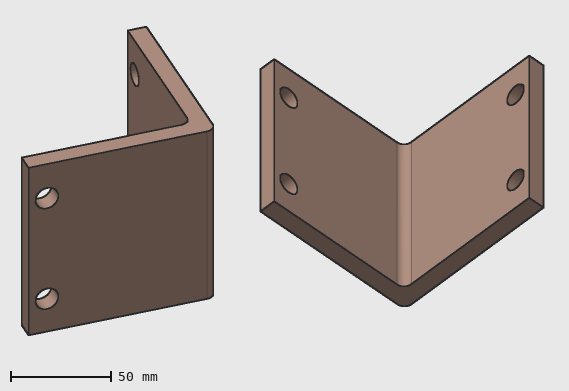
import cadquery as cq

leg_length = 100.0
height = 100.0
thickness = 10.0
bend_radius = 5.0

back_hole_diameter = 12.0
back_hole_edge_distance = 10.1
back_hole_heights = (19.2, 79.8)
side_hole_diameter = 12.1
side_hole_edge_distance = 9.8
side_hole_heights = (19.6, 79.6)


def make_angle():
    """L-shaped plate: back leg along X, side leg along -Y, corner at +X +Y."""
    inner_x = leg_length - thickness
    inner_y = leg_length - thickness
    angle = (
        cq.Workplane("XY")
        .moveTo(0, leg_length)
        .lineTo(leg_length, leg_length)
        .lineTo(leg_length, 0)
        .lineTo(inner_x, 0)
        .lineTo(inner_x, inner_y)
        .lineTo(0, inner_y)
        .close()
        .extrude(height)
    )
    outer_corner = cq.selectors.NearestToPointSelector((leg_length, leg_length, height / 2))
    inner_corner = cq.selectors.NearestToPointSelector((inner_x, inner_y, height / 2))
    angle = angle.edges(outer_corner).fillet(bend_radius)
    return angle.edges(inner_corner).fillet(bend_radius)


def back_hole(z):
    """Cutter along Y through the back leg."""
    start = cq.Vector(back_hole_edge_distance, 0, z)
    return cq.Solid.makeCylinder(back_hole_diameter / 2, leg_length, start, cq.Vector(0, 1, 0))


def side_hole(z):
    """Cutter along X through the side leg."""
    start = cq.Vector(0, side_hole_edge_distance, z)
    return cq.Solid.makeCylinder(side_hole_diameter / 2, leg_length, start, cq.Vector(1, 0, 0))


result = make_angle()
for hole_height in back_hole_heights:
    result = result.cut(back_hole(hole_height))
for hole_height in side_hole_heights:
    result = result.cut(side_hole(hole_height))